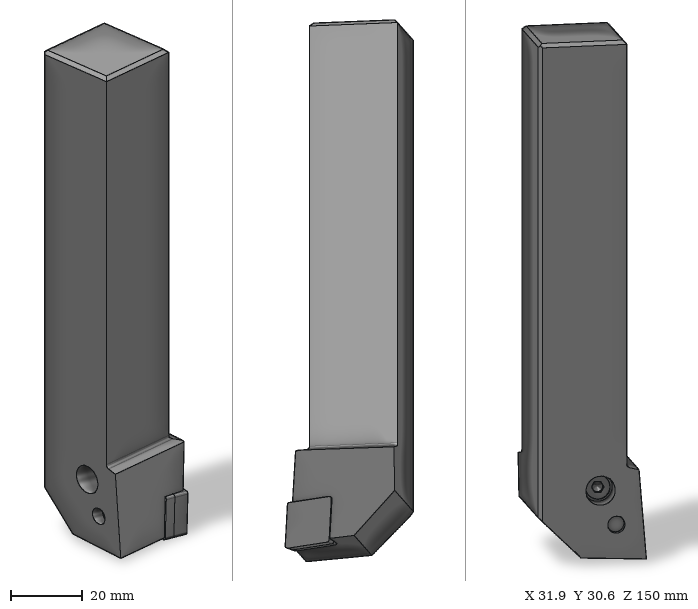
import cadquery as cq
import math


SHANK = 25.0
LENGTH = 150.0
EDGE_CHAMFER = 1.0

HEAD_DEPTH = 30.6
LEDGE_Z = 28.0
LEDGE_ANGLE = 15.0
LEDGE_FILLET = 1.0
SHOULDER_X = 28.5
TOE_X, TOE_Z = 30.6, 1.5
HEEL_X, HEEL_Z = 12.0, 2.5
BACK_CORNER_Z = 14.4
RAKE_ANGLE = 6.0

INSERT_ANGLE = 80.0
APPROACH_ANGLE = 5.0
INSERT_EDGE = 12.9
INSERT_THICKNESS = 4.8
SHIM_THICKNESS = 3.2
NOSE_RADIUS = 0.8
NOSE_X, NOSE_Y, NOSE_Z = 32.0, 25.2, -0.08

SCREW_HOLE_X, SCREW_HOLE_Z = 17.5, 21.6
SCREW_HOLE_DIAMETER = 8.2
SCREW_HOLE_DEPTH = 10.2
SCREW_DIAMETER = 6.9
SCREW_LENGTH = 1.2
SOCKET_FLATS = 3.0
SOCKET_DEPTH = 1.8
SOCKET_POINT_DEPTH = 0.9
PIN_HOLE_X, PIN_HOLE_Z = 22.0, 11.7
PIN_HOLE_DIAMETER = 4.8
PIN_HOLE_DEPTH = 3.5

RAKE_SLOPE = math.tan(math.radians(RAKE_ANGLE))
LEDGE_SLOPE = math.tan(math.radians(LEDGE_ANGLE))
RAKE_NORMAL = cq.Vector(RAKE_SLOPE, 1, -RAKE_SLOPE)


def rake_plane(x, y, z):
    """Plane through the given point, parallel to the rake face, with its normal toward +Y."""
    return cq.Plane((x, y, z), (1, -RAKE_SLOPE, 0), RAKE_NORMAL)


def head_and_shank():
    """Common volume of the X-Z outline and the Y-Z outline, so that the two ledges meet in a mitre."""
    shoulder_z = LEDGE_Z - (SHOULDER_X - SHANK) * LEDGE_SLOPE
    crest_z = LEDGE_Z - (HEAD_DEPTH - SHANK) * LEDGE_SLOPE
    side = (
        cq.Workplane("XZ")
        .polyline([
            (0, LENGTH), (SHANK, LENGTH), (SHANK, LEDGE_Z), (SHOULDER_X, shoulder_z),
            (TOE_X, TOE_Z), (HEEL_X, HEEL_Z), (0, BACK_CORNER_Z),
        ])
        .close()
        .extrude(-HEAD_DEPTH)
        .edges(cq.selectors.NearestToPointSelector((SHANK, HEAD_DEPTH / 2, LEDGE_Z)))
        .fillet(LEDGE_FILLET)
    )
    end = (
        cq.Workplane("YZ")
        .polyline([
            (0, LENGTH), (SHANK, LENGTH), (SHANK, LEDGE_Z), (HEAD_DEPTH, crest_z),
            (HEAD_DEPTH, 0), (0, 0),
        ])
        .close()
        .extrude(TOE_X)
        .edges(cq.selectors.NearestToPointSelector((TOE_X / 2, SHANK, LEDGE_Z)))
        .fillet(LEDGE_FILLET)
    )
    wide = 4 * HEAD_DEPTH
    above_rake = (
        cq.Workplane(rake_plane(0, HEAD_DEPTH, crest_z))
        .rect(wide, wide)
        .extrude(HEAD_DEPTH)
    )
    return side.intersect(end).cut(above_rake)


def chamfer_shank(body):
    """Chamfer the shank end and the edge where the X-min and Y-min faces meet."""
    body = body.faces(">Z").chamfer(EDGE_CHAMFER)
    corner = (
        cq.Workplane("XY")
        .polyline([(0, 0), (EDGE_CHAMFER, 0), (0, EDGE_CHAMFER)])
        .close()
        .extrude(LENGTH)
    )
    return body.cut(corner)


def tilted_hole(x, z, diameter, depth):
    """Blind hole square to the rake face; depth is measured from the Y-min face along the tilted axis."""
    start = -diameter * RAKE_SLOPE
    return (
        cq.Workplane(rake_plane(x, 0, z))
        .workplane(offset=start)
        .circle(diameter / 2)
        .extrude(depth - start)
    )


def screw_end():
    """Stud that stands on the floor of the screw hole, and the pointed hexagon socket to cut into it."""
    socket_corners = SOCKET_FLATS / math.cos(math.pi / 6)
    end_plane = cq.Workplane(rake_plane(SCREW_HOLE_X, 0, SCREW_HOLE_Z)).workplane(
        offset=SCREW_HOLE_DEPTH - SCREW_LENGTH
    )
    stud = end_plane.circle(SCREW_DIAMETER / 2).extrude(SCREW_LENGTH)
    cone_base = end_plane.workplane(offset=SOCKET_DEPTH).plane
    cone = cq.Solid.makeCone(SOCKET_FLATS / 2, 0, SOCKET_POINT_DEPTH, cone_base.origin, cone_base.zDir)
    socket = end_plane.polygon(6, socket_corners).extrude(SOCKET_DEPTH).union(cq.Workplane(cone))
    return stud, socket


def rhombus_plate(top_depth, thickness):
    """Plate with the insert's outline whose top lies top_depth below the insert's rake face."""
    lean = math.radians(APPROACH_ANGLE)
    rake_edge = cq.Vector(-math.cos(lean), 0, math.sin(lean))
    rake_edge = rake_edge + cq.Vector(0, RAKE_SLOPE * (rake_edge.z - rake_edge.x), 0)
    plane = cq.Plane((NOSE_X, NOSE_Y, NOSE_Z), rake_edge, RAKE_NORMAL)
    nose = math.radians(INSERT_ANGLE)
    lean_offset = INSERT_EDGE * math.cos(nose)
    width = INSERT_EDGE * math.sin(nose)
    return (
        cq.Workplane(plane)
        .workplane(offset=-top_depth)
        .polyline([(0, 0), (INSERT_EDGE, 0), (INSERT_EDGE + lean_offset, width), (lean_offset, width)])
        .close()
        .extrude(-thickness)
        .edges(cq.selectors.ParallelDirSelector(RAKE_NORMAL))
        .fillet(NOSE_RADIUS)
    )


def build_holder(insert):
    """Holder with its shim and screw; the seat is open above the insert."""
    stud, socket = screw_end()
    above_insert = rhombus_plate(-HEAD_DEPTH, HEAD_DEPTH)
    shim = rhombus_plate(INSERT_THICKNESS, SHIM_THICKNESS)
    return (
        chamfer_shank(head_and_shank())
        .cut(tilted_hole(SCREW_HOLE_X, SCREW_HOLE_Z, SCREW_HOLE_DIAMETER, SCREW_HOLE_DEPTH))
        .union(stud)
        .cut(socket)
        .cut(tilted_hole(PIN_HOLE_X, PIN_HOLE_Z, PIN_HOLE_DIAMETER, PIN_HOLE_DEPTH))
        .cut(above_insert)
        .cut(insert)
        .union(shim)
    )


insert = rhombus_plate(0, INSERT_THICKNESS)
holder = build_holder(insert)

result = cq.Compound.makeCompound([holder.solids().val(), insert.solids().val()])